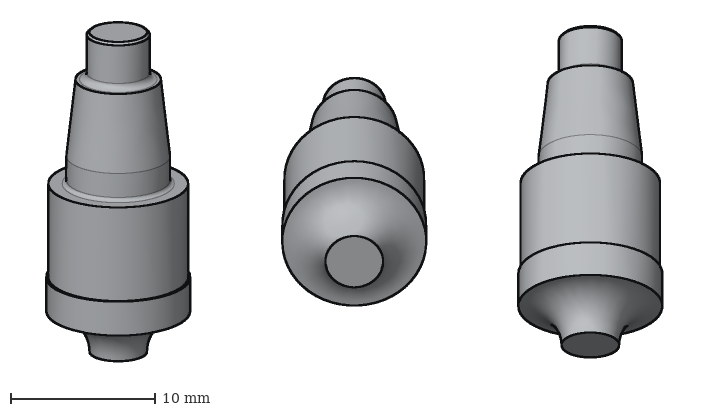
import cadquery as cq
import math

total_height = 23.6
tail_height = 3.0
collar_height = 2.5
barrel_height = 6.91
neck_height = 2.05
tip_height = 3.5

collar_radius = 5.0
barrel_radius = 4.85
neck_radius = 3.6
cone_top_radius = 2.97
tip_radius = 2.2

neck_fillet = 0.28
tip_fillet = 0.5
tip_chamfer = 0.2

bottom_z = -total_height / 2
top_z = total_height / 2
collar_bottom_z = bottom_z + tail_height
collar_top_z = collar_bottom_z + collar_height
barrel_top_z = collar_top_z + barrel_height
cone_bottom_z = barrel_top_z + neck_height
cone_top_z = top_z - tip_height

DIAGONAL = math.sqrt(0.5)


def revolve_about_z(profile):
    """Revolve a closed (radius, z) profile a full turn about the Z axis."""
    return profile.close().revolve(360, (0, 0, 0), (0, 1, 0))


def concave_fillet(profile, shaft_radius, shoulder_z, fillet_radius):
    """Extend a profile from a shoulder up onto a shaft through a quarter-round fillet."""
    center_radius = shaft_radius + fillet_radius
    center_z = shoulder_z + fillet_radius
    offset = fillet_radius * DIAGONAL
    return (
        profile.lineTo(center_radius, shoulder_z)
        .threePointArc((center_radius - offset, center_z - offset), (shaft_radius, center_z))
    )


def make_base():
    """Collar with a tail that narrows through a concave quarter-round."""
    tail_radius = collar_radius - tail_height
    offset = tail_height * DIAGONAL
    profile = (
        cq.Workplane("XZ")
        .moveTo(0, bottom_z)
        .lineTo(tail_radius, bottom_z)
        .threePointArc((collar_radius - offset, bottom_z + offset), (collar_radius, collar_bottom_z))
        .lineTo(collar_radius, collar_top_z)
        .lineTo(0, collar_top_z)
    )
    return revolve_about_z(profile)


def make_spindle():
    """Barrel, straight neck, cone and chamfered tip, standing on the collar."""
    profile = (
        cq.Workplane("XZ")
        .moveTo(0, collar_top_z)
        .lineTo(barrel_radius, collar_top_z)
        .lineTo(barrel_radius, barrel_top_z)
    )
    profile = concave_fillet(profile, neck_radius, barrel_top_z, neck_fillet)
    profile = profile.lineTo(neck_radius, cone_bottom_z).lineTo(cone_top_radius, cone_top_z)
    profile = concave_fillet(profile, tip_radius, cone_top_z, tip_fillet)
    profile = (
        profile.lineTo(tip_radius, top_z - tip_chamfer)
        .lineTo(tip_radius - tip_chamfer, top_z)
        .lineTo(0, top_z)
    )
    return revolve_about_z(profile)


base = make_base()
spindle = make_spindle()

result = cq.Compound.makeCompound([base.val(), spindle.val()])